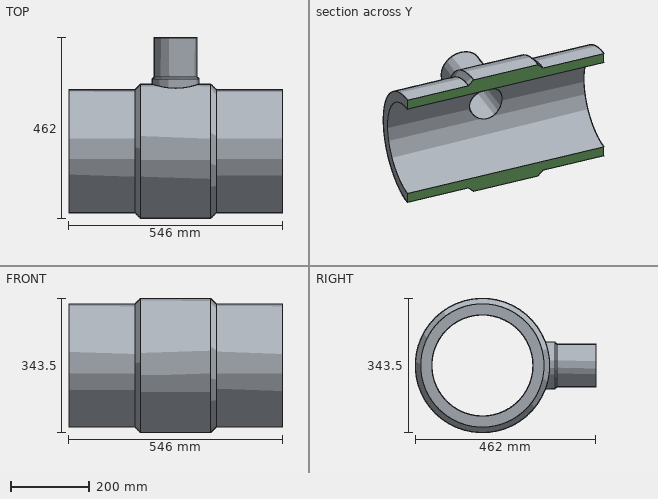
import cadquery as cq

pipe_length = 546.0
pipe_diameter = 315.0
bore_diameter = 257.5

sleeve_diameter = 343.5
sleeve_length = 207.5
sleeve_chamfer = (sleeve_diameter - pipe_diameter) / 2

overall_width = 462.0
branch_diameter = 110.0
branch_bore_diameter = 90.0
branch_reach = overall_width - sleeve_diameter / 2
collar_diameter = 120.0
collar_reach = 190.0
collar_chamfer = (collar_diameter - branch_diameter) / 2


def pipe_cylinder(diameter, length):
    """Cylinder along X, centred on the origin."""
    return cq.Workplane("YZ").circle(diameter / 2).extrude(length / 2, both=True)


def branch_cylinder(diameter, reach):
    """Cylinder from the pipe axis out to a given reach along +Y."""
    return cq.Workplane("XZ").circle(diameter / 2).extrude(-reach)


pipe = pipe_cylinder(pipe_diameter, pipe_length)
sleeve = pipe_cylinder(sleeve_diameter, sleeve_length).edges().chamfer(sleeve_chamfer)
branch = branch_cylinder(branch_diameter, branch_reach)
collar = branch_cylinder(collar_diameter, collar_reach).faces(">Y").edges().chamfer(collar_chamfer)

solid_body = pipe.union(sleeve).union(branch).union(collar)

result = solid_body.cut(pipe_cylinder(bore_diameter, pipe_length))
result = result.cut(branch_cylinder(branch_bore_diameter, branch_reach))